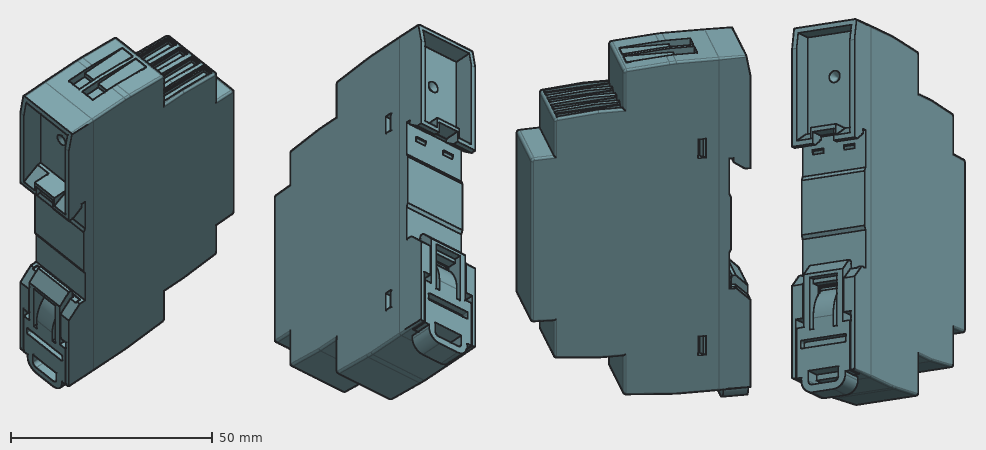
import cadquery as cq
import math


WIDTH = 18.0
DEPTH = 55.8
HALF_HEIGHT = 45.4
CUTTER = 2 * HALF_HEIGHT

FRONT_TIER_HALF = 22.5
FRONT_TIER_DROP = 0.2
MID_TIER_Y = 49.9
MID_TIER_HALF = 33.7
MID_TIER_DROP = 1.0
MID_TIER_SLOPE_Y = 38.7
REAR_TIER_Y = 32.3
REAR_TIER_DROP = 1.0
REAR_TIER_BEND_Y = 20.6
REAR_TIER_SLOPE_Y = 18.9
REAR_TIER_BEND_DROP = 0.1
BASE_Y = 8.1
BASE_TAPER = 0.1

REAR_SLANT_DEPTH = 1.0
REAR_SLANT_BOTTOM_Z = 39.8
CORNER_RADIUS = 0.9
SIDE_EDGE_RADIUS = 0.6

RAIL_FACE_Y = 5.4
RAIL_PAD_RISE = 0.5
RAIL_PAD_TOP_HALF = 7.0
RAIL_PAD_FOOT_HALF = 8.1
HOOK_BOTTOM_Z = 14.5
HOOK_LIP_Y = 1.4
HOOK_THROAT_Y = 4.3
HOOK_THROAT_Z = 16.5
RAIL_TOP_Z = 17.7
LEDGE_Z = -17.9
LEDGE_EDGE_Y = 3.6
LEDGE_SLANT_BOTTOM_Z = -21.4

NUB_INNER_X = 2.9
NUB_OUTER_X = 6.0
NUB_HEIGHT = 1.1
NUB_FLAT_HEIGHT = 0.4
NUB_RISE = 0.4

POCKET_HALF_WIDTH = 7.6
POCKET_DEPTH = 5.7
POCKET_TOP_Z = 43.9
SILL_Z = 18.7
SILL_EDGE_Y = 4.7
SILL_FOOT_Z = 15.9
BRIDGE_HALF_WIDTH = 3.6
BRIDGE_SIDE_WALL = 0.6
BRIDGE_TOP_WALL = 1.1
PIT_Z = 32.8
PIT_RADIUS = 1.5

TOP_SLOT_WIDTH = 3.9
TOP_SLOT_CENTRES = (-2.9, 2.0)
TOP_SLOT_FRONT_Y = 30.7
TOP_SLOT_STEP_Y = 18.0
TOP_SLOT_REAR_Y = 12.6
TOP_SLOT_FLOOR_Z = 44.4
TOP_SLOT_DEEP_FLOOR_Z = 43.0

VENTS = (
    (0.8, 3.6, 0.95, 3.3),
    (4.9, 8.1, 5.5, 7.6),
)
VENT_FRONT_Y = 48.9
VENT_MOUTH_DEPTH = 0.5
VENT_FLOOR_DEPTH = 1.5
VENT_FLOOR_SETBACK = 0.3

SIDE_SLOT_Y = 11.3
SIDE_SLOT_WIDTH = 2.0
SIDE_SLOT_LENGTH = 5.1
SIDE_SLOT_CENTRES_Z = (21.1, -32.7)
SIDE_SLOT_DEPTH = 1.4
SIDE_SLOT_SHALLOW_DEPTH = 0.5

ARM_HALF_WIDTH = 5.6
CLIP_THICKNESS = 4.3
FOOT_HALF_WIDTH = 7.6
FOOT_TOP_Z = -32.5
CLIP_SIDE_GAP = 0.3
CHANNEL_STEP_Z = -30.1
CLIP_TOP_Z = -15.9
CLIP_TIP_FRONT_Y = 4.0
CLIP_TIP_REAR_Y = 3.0
CLIP_TIP_CHAMFER_Z = -16.6
CLIP_SLANT_BOTTOM_Z = -18.9
LEDGE_NOTCH_DEPTH = 0.3
LEDGE_NOTCH_Y = 4.75

WINDOW_HALF_WIDTH = 3.9
WINDOW_TOP_Z = -19.85
WINDOW_BOTTOM_Z = -33.3
BAR_BOTTOM_Z = -21.0
BAR_Y = 1.9
TONGUE_HALF_WIDTH = 2.85
TONGUE_BEND_Z = -30.4
TONGUE_CURVE_TOP_Z = -22.5
TONGUE_TOP_Z = -21.75
TONGUE_RADIUS = 10.0
RECESS_HALF_WIDTH = 3.4
RECESS_BOTTOM_Z = -23.2
RECESS_DEPTH = 0.95

GROOVE_HALF_WIDTH = 6.5
GROOVE_TOP_Z = -35.8
GROOVE_BOTTOM_Z = -37.9
GROOVE_DEPTH = 1.9
GROOVE_CORNER_RADIUS = 0.4

LOOP_HALF_WIDTH = 6.3
LOOP_DEPTH = 6.4
LOOP_BOTTOM_Z = -49.6
LOOP_CORNER_RADIUS = 3.3
EYE_HALF_WIDTH = 4.3
EYE_TOP_Z = -43.9
EYE_BOTTOM_Z = -47.6
EYE_CORNER_RADIUS = 1.1


def box(x_from, x_to, y_from, y_to, z_from, z_to):
    """Box between the given limits."""
    size = (x_to - x_from, y_to - y_from, z_to - z_from)
    return cq.Workplane("XY").box(*size, centered=False).translate((x_from, y_from, z_from))


def centred_box(half_width, y_from, y_to, z_from, z_to):
    """Box that is symmetric about the middle of the width."""
    return box(-half_width, half_width, y_from, y_to, z_from, z_to)


def prism(points, half_width):
    """Side outline of (Y, Z) points extruded equally to both sides of the middle."""
    return cq.Workplane("YZ").polyline(points).close().extrude(half_width, both=True)


def upper_outline():
    """Tiered outline above Z = 0, from the front face to the rear base."""
    return [
        (DEPTH, FRONT_TIER_HALF - FRONT_TIER_DROP),
        (MID_TIER_Y, FRONT_TIER_HALF),
        (MID_TIER_Y, MID_TIER_HALF - MID_TIER_DROP),
        (MID_TIER_SLOPE_Y, MID_TIER_HALF),
        (REAR_TIER_Y, MID_TIER_HALF),
        (REAR_TIER_Y, HALF_HEIGHT - REAR_TIER_DROP),
        (REAR_TIER_BEND_Y, HALF_HEIGHT - REAR_TIER_BEND_DROP),
        (REAR_TIER_SLOPE_Y, HALF_HEIGHT),
        (BASE_Y, HALF_HEIGHT),
    ]


def housing_blank():
    """Tiered block with rounded front corners and rounded side edges."""
    upper = upper_outline()
    lower = [(y, -z) for y, z in reversed(upper)]
    rear_half_height = HALF_HEIGHT - BASE_TAPER
    rear = [(REAR_SLANT_DEPTH, rear_half_height), (0, REAR_SLANT_BOTTOM_Z), (0, -rear_half_height)]
    blank = prism(upper + rear + lower, WIDTH / 2)
    for y, z in (upper[0], upper[2], upper[5]):
        for corner_z in (z, -z):
            around = cq.selectors.BoxSelector(
                (-WIDTH, y - CORNER_RADIUS, corner_z - CORNER_RADIUS),
                (WIDTH, y + CORNER_RADIUS, corner_z + CORNER_RADIUS),
            )
            blank = blank.edges("|X").edges(around).fillet(CORNER_RADIUS)
    beyond_rear_slant = cq.selectors.BoxSelector(
        (-WIDTH, REAR_SLANT_DEPTH, -CUTTER), (WIDTH, CUTTER, CUTTER)
    )
    return blank.faces("<X or >X").edges(beyond_rear_slant).fillet(SIDE_EDGE_RADIUS)


def base_side_taper():
    """Thin wedge that tapers the +X side of the rear base."""
    side_x = WIDTH / 2
    wedge = cq.Workplane("XY").polyline([(side_x, BASE_Y), (side_x - BASE_TAPER, 0), (side_x, 0)]).close()
    return wedge.extrude(HALF_HEIGHT, both=True)


def rail_seat():
    """Space for the rail, with the undercut of the fixed hook and the raised pad left standing."""
    pad_y = RAIL_FACE_Y - RAIL_PAD_RISE
    return prism(
        [
            (-CUTTER, HOOK_BOTTOM_Z),
            (HOOK_LIP_Y, HOOK_BOTTOM_Z),
            (HOOK_THROAT_Y, HOOK_THROAT_Z),
            (HOOK_THROAT_Y, RAIL_TOP_Z),
            (RAIL_FACE_Y, RAIL_TOP_Z),
            (RAIL_FACE_Y, RAIL_PAD_FOOT_HALF),
            (pad_y, RAIL_PAD_TOP_HALF),
            (pad_y, -RAIL_PAD_TOP_HALF),
            (RAIL_FACE_Y, -RAIL_PAD_FOOT_HALF),
            (RAIL_FACE_Y, LEDGE_Z),
            (LEDGE_EDGE_Y, LEDGE_Z),
            (0, LEDGE_SLANT_BOTTOM_Z),
            (-CUTTER, LEDGE_SLANT_BOTTOM_Z),
        ],
        WIDTH,
    )


def rail_nubs():
    """Pair of wedges on the rail face, just below the fixed hook."""
    bottom_z = HOOK_BOTTOM_Z - NUB_HEIGHT
    wedge = prism(
        [
            (RAIL_FACE_Y, bottom_z),
            (RAIL_FACE_Y, HOOK_BOTTOM_Z),
            (RAIL_FACE_Y - NUB_RISE, HOOK_BOTTOM_Z),
            (RAIL_FACE_Y - NUB_RISE, HOOK_BOTTOM_Z - NUB_FLAT_HEIGHT),
        ],
        NUB_OUTER_X,
    )
    between = centred_box(NUB_INNER_X, 0, RAIL_FACE_Y, bottom_z, HOOK_BOTTOM_Z)
    return wedge.cut(between)


def rear_pocket():
    """Pocket with a sloped floor, leaving the bridge block standing."""
    pocket = prism(
        [
            (-CUTTER, POCKET_TOP_Z),
            (POCKET_DEPTH, POCKET_TOP_Z),
            (POCKET_DEPTH, SILL_Z),
            (SILL_EDGE_Y, SILL_Z),
            (0, SILL_FOOT_Z),
            (-CUTTER, SILL_FOOT_Z),
        ],
        POCKET_HALF_WIDTH,
    )
    bridge = centred_box(BRIDGE_HALF_WIDTH, -CUTTER, POCKET_DEPTH, 0, SILL_Z)
    return pocket.cut(bridge)


def bridge_notch():
    """Opening under the bridge block, down to the rail space."""
    half_width = BRIDGE_HALF_WIDTH - BRIDGE_SIDE_WALL
    return centred_box(half_width, 0, RAIL_FACE_Y, HOOK_BOTTOM_Z, SILL_Z - BRIDGE_TOP_WALL)


def pocket_pit():
    """Conical pit in the pocket floor."""
    return cq.Workplane(
        cq.Solid.makeCone(PIT_RADIUS, 0, PIT_RADIUS, cq.Vector(0, POCKET_DEPTH, PIT_Z), cq.Vector(0, 1, 0))
    )


def top_slot(centre_x):
    """Slot in the top of the rear tier with a deeper rear end."""
    side_outline = prism(
        [
            (TOP_SLOT_FRONT_Y, CUTTER),
            (TOP_SLOT_FRONT_Y, TOP_SLOT_FLOOR_Z),
            (TOP_SLOT_STEP_Y, TOP_SLOT_FLOOR_Z),
            (TOP_SLOT_STEP_Y, TOP_SLOT_DEEP_FLOOR_Z),
            (TOP_SLOT_REAR_Y, TOP_SLOT_DEEP_FLOOR_Z),
            (TOP_SLOT_REAR_Y, CUTTER),
        ],
        TOP_SLOT_WIDTH / 2,
    )
    return side_outline.translate((centre_x, 0, 0))


def vent_cut(x_from, x_to, front_y, depth):
    """Groove from front_y back to the rear tier; its floor falls as much as the middle tier's top does."""
    outline = [
        (front_y, MID_TIER_HALF),
        (front_y, MID_TIER_HALF - MID_TIER_DROP - depth),
        (REAR_TIER_Y, MID_TIER_HALF - depth),
        (REAR_TIER_Y, MID_TIER_HALF),
    ]
    return prism(outline, (x_to - x_from) / 2).translate(((x_from + x_to) / 2, 0, 0))


def side_slot(centre_z):
    """Slot in the -X side: a shallow strip, then a slope into a deeper strip."""
    side_x = -WIDTH / 2
    strip = SIDE_SLOT_WIDTH / 3
    return (
        cq.Workplane("XY", origin=(side_x, SIDE_SLOT_Y, centre_z - SIDE_SLOT_LENGTH / 2))
        .polyline(
            [
                (0, 0),
                (SIDE_SLOT_SHALLOW_DEPTH, 0),
                (SIDE_SLOT_SHALLOW_DEPTH, strip),
                (SIDE_SLOT_DEPTH, 2 * strip),
                (SIDE_SLOT_DEPTH, 3 * strip),
                (0, 3 * strip),
            ]
        )
        .close()
        .extrude(SIDE_SLOT_LENGTH)
    )


def clip_channel():
    """Stepped channel for the clip, the notch in the ledge and the recess behind the tongue tip."""
    arm_slot = centred_box(ARM_HALF_WIDTH + CLIP_SIDE_GAP, 0, CLIP_THICKNESS, CHANNEL_STEP_Z, LEDGE_Z)
    wide_half = FOOT_HALF_WIDTH + CLIP_SIDE_GAP
    foot_slot = centred_box(wide_half, 0, CLIP_THICKNESS, -HALF_HEIGHT, CHANNEL_STEP_Z)
    notch = centred_box(wide_half, 0, LEDGE_NOTCH_Y, LEDGE_Z - LEDGE_NOTCH_DEPTH, LEDGE_Z)
    recess = centred_box(
        RECESS_HALF_WIDTH, CLIP_THICKNESS, CLIP_THICKNESS + RECESS_DEPTH, RECESS_BOTTOM_Z, BAR_BOTTOM_Z
    )
    return arm_slot.union(foot_slot).union(notch).union(recess)


def make_housing():
    taper = base_side_taper()
    body = housing_blank().cut(taper).cut(taper.mirror("YZ"))
    body = body.cut(rail_seat()).union(rail_nubs())
    body = body.cut(rear_pocket()).cut(bridge_notch()).cut(pocket_pit())
    for centre_x in TOP_SLOT_CENTRES:
        body = body.cut(top_slot(centre_x))
    for mouth_from, mouth_to, floor_from, floor_to in VENTS:
        mouth = vent_cut(mouth_from, mouth_to, VENT_FRONT_Y, VENT_MOUTH_DEPTH)
        floor = vent_cut(floor_from, floor_to, VENT_FRONT_Y - VENT_FLOOR_SETBACK, VENT_FLOOR_DEPTH)
        vent = mouth.union(floor)
        body = body.cut(vent).cut(vent.mirror("YZ"))
    for centre_z in SIDE_SLOT_CENTRES_Z:
        body = body.cut(side_slot(centre_z))
    return body.cut(clip_channel())


def clip_arm():
    """Arm that ends in the slanted hook."""
    outline = [
        (0, FOOT_TOP_Z),
        (0, CLIP_SLANT_BOTTOM_Z),
        (CLIP_TIP_REAR_Y, CLIP_TOP_Z),
        (CLIP_TIP_FRONT_Y, CLIP_TOP_Z),
        (CLIP_THICKNESS, CLIP_TIP_CHAMFER_Z),
        (CLIP_THICKNESS, FOOT_TOP_Z),
    ]
    return prism(outline, ARM_HALF_WIDTH)


def clip_window():
    """Window through the arm, leaving the recessed bar at its top."""
    window = centred_box(WINDOW_HALF_WIDTH, 0, CLIP_THICKNESS, WINDOW_BOTTOM_Z, WINDOW_TOP_Z)
    bar = centred_box(WINDOW_HALF_WIDTH, BAR_Y, CLIP_THICKNESS, BAR_BOTTOM_Z, WINDOW_TOP_Z)
    return window.cut(bar)


def tongue():
    """Tongue whose rear face curves inwards to a flat tip."""

    def on_curve(angle):
        y = TONGUE_RADIUS * (1 - math.cos(angle))
        return (y, TONGUE_BEND_Z + TONGUE_RADIUS * math.sin(angle))

    end_angle = math.asin((TONGUE_CURVE_TOP_Z - TONGUE_BEND_Z) / TONGUE_RADIUS)
    curve_end = on_curve(end_angle)
    return (
        cq.Workplane("YZ")
        .moveTo(0, WINDOW_BOTTOM_Z)
        .lineTo(0, TONGUE_BEND_Z)
        .threePointArc(on_curve(end_angle / 2), curve_end)
        .lineTo(curve_end[0], TONGUE_TOP_Z)
        .lineTo(CLIP_THICKNESS, TONGUE_TOP_Z)
        .lineTo(CLIP_THICKNESS, WINDOW_BOTTOM_Z)
        .close()
        .extrude(TONGUE_HALF_WIDTH, both=True)
    )


def pull_loop():
    """Rounded loop below the foot."""
    loop = centred_box(LOOP_HALF_WIDTH, 0, LOOP_DEPTH, LOOP_BOTTOM_Z, -HALF_HEIGHT)
    return loop.edges("|Y and <Z").fillet(LOOP_CORNER_RADIUS)


def loop_eye():
    """Opening of the loop, rounded at its lower corners."""
    eye = centred_box(EYE_HALF_WIDTH, 0, LOOP_DEPTH, EYE_BOTTOM_Z, EYE_TOP_Z)
    return eye.edges("|Y and <Z").fillet(EYE_CORNER_RADIUS)


def grip_groove():
    """Round-cornered groove across the foot."""
    groove = centred_box(GROOVE_HALF_WIDTH, 0, GROOVE_DEPTH, GROOVE_BOTTOM_Z, GROOVE_TOP_Z)
    return groove.edges("|Y").fillet(GROOVE_CORNER_RADIUS)


def make_clip():
    foot = centred_box(FOOT_HALF_WIDTH, 0, CLIP_THICKNESS, -HALF_HEIGHT, FOOT_TOP_Z)
    body = clip_arm().union(foot).union(pull_loop())
    body = body.cut(clip_window()).union(tongue())
    return body.cut(loop_eye()).cut(grip_groove())


housing = make_housing()
clip = make_clip()
result = cq.Compound.makeCompound([housing.solids().val(), clip.solids().val()])